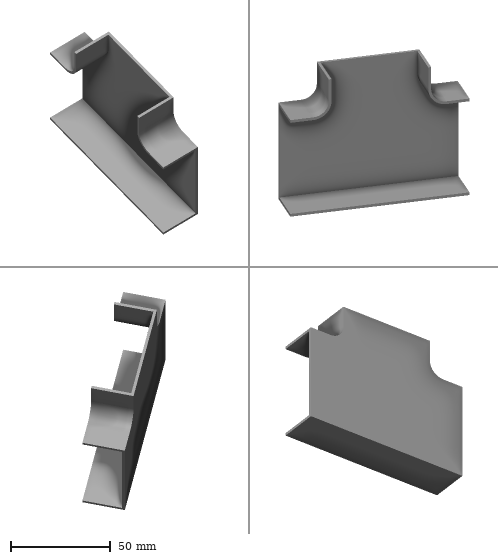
import cadquery as cq

run_length = 93.4
channel_width = 53.4
branch_length = 20.0
depth = 21.8
wall = 1.5
corner_radius = 8.0

total_height = channel_width + branch_length


def tee_prism(inset, radius, prism_depth):
    """Extrude the tee outline, its walled edges moved inwards by inset, from the front face to +Y."""
    half_run = run_length / 2
    half_branch = channel_width / 2 - inset
    bottom = -total_height / 2 + inset
    shoulder = -total_height / 2 + channel_width - inset
    top = total_height / 2
    return (
        cq.Workplane("XZ", origin=(0, -depth / 2, 0))
        .moveTo(-half_run, bottom)
        .lineTo(half_run, bottom)
        .lineTo(half_run, shoulder)
        .lineTo(half_branch + radius, shoulder)
        .radiusArc((half_branch, shoulder + radius), radius)
        .lineTo(half_branch, top)
        .lineTo(-half_branch, top)
        .lineTo(-half_branch, shoulder + radius)
        .radiusArc((-half_branch - radius, shoulder), radius)
        .lineTo(-half_run, shoulder)
        .close()
        .extrude(-prism_depth)
    )


body = tee_prism(0, corner_radius, depth)
cavity = tee_prism(wall, corner_radius + wall, depth - wall)

result = body.cut(cavity)